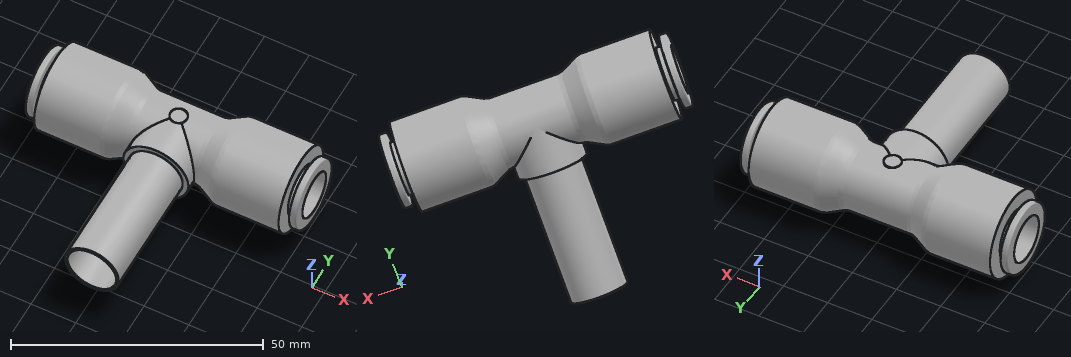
import cadquery as cq

overall_length = 60.6
body_length = 54.65
socket_radius = 9.5
neck_radius = 7.3
run_bore_radius = 5.0

taper_start = 7.75
taper_end = 12.1
taper_blend_radius = 2.25

flange_radius = 7.75
flange_thickness = 1.7
flange_round = 0.35
sleeve_radius = 5.6

boss_length = 9.7
boss_radius = neck_radius
tube_reach = 36.8
tube_radius = 6.0
tube_bore_radius = 5.45

pad_radius = 1.8

half_length = overall_length / 2
half_body = body_length / 2


def branch_cylinder(radius, length):
    """Cylinder from the run axis out along -Y."""
    return cq.Workplane("XZ").circle(radius).extrude(length)


def make_run_body():
    """Neck and two sockets, with the taper corners rounded."""
    profile = [
        (-half_body, 0),
        (-half_body, socket_radius),
        (-taper_end, socket_radius),
        (-taper_start, neck_radius),
        (taper_start, neck_radius),
        (taper_end, socket_radius),
        (half_body, socket_radius),
        (half_body, 0),
    ]
    body = cq.Workplane("XY").polyline(profile).close().revolve(360, (0, 0, 0), (1, 0, 0))
    zone_half = (taper_end + half_body) / 2
    taper_zone = cq.selectors.BoxSelector(
        (-zone_half, -overall_length, -overall_length),
        (zone_half, overall_length, overall_length),
    )
    return body.edges("%CIRCLE").edges(taper_zone).fillet(taper_blend_radius)


def make_release_collar():
    """Collar at the +X port, its sleeve starting inside the socket face."""
    flange = (
        cq.Workplane("YZ", origin=(half_length - flange_thickness, 0, 0))
        .circle(flange_radius)
        .extrude(flange_thickness)
        .edges()
        .fillet(flange_round)
    )
    sleeve = cq.Workplane("YZ", origin=(taper_end, 0, 0)).circle(sleeve_radius)
    return flange.union(sleeve.extrude(half_length - taper_end))


collar = make_release_collar()
boss = branch_cylinder(boss_radius, boss_length)
tube = branch_cylinder(tube_radius, tube_reach)
pad = cq.Workplane("XY").circle(pad_radius).extrude(neck_radius)

solid = make_run_body().union(collar).union(collar.mirror("YZ"))
solid = solid.union(boss).union(tube).union(pad)

run_bore = cq.Workplane("YZ").circle(run_bore_radius).extrude(half_length, both=True)
tube_bore = branch_cylinder(tube_bore_radius, tube_reach)

result = solid.cut(run_bore).cut(tube_bore)